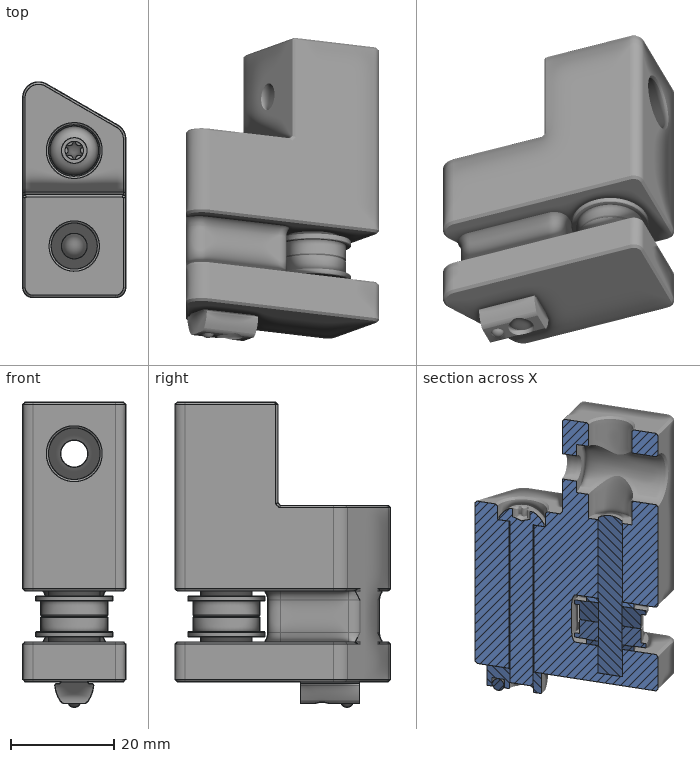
import cadquery as cq
import math


width = 20.0
depth = 41.85
base_height = 7.75
edge_chamfer = 0.5
hole_chamfer = 0.4
slant_angle = 30.0
front_corner_radius = 2.0
back_corner_radius = 3.1

ledge_height = 16.65
tower_rise = 20.0
tower_depth = 20.0

web_width = 11.0
web_front = 18.0
web_corner_radius = 2.5
web_fillet = 3.0
web_fillet_shown = 1.8

shaft_diameter = 5.0
axle_y = 10.0
bearing_diameter = 13.0
bearing_width = 3.95
bearing_chamfer = 0.25
flange_diameter = 15.0
flange_thickness = 1.0
flange_chamfer = 0.1
shim_diameter = 10.0
shim_thickness = 0.95
access_diameter = 8.95
axle_bottom = 2.0
dome_height = 0.75
dome_stand_off = 0.5

bore_diameter = 10.0
bore_depth = 17.0
bore_drop = 10.0
clearance_diameter = 5.2

screw_y = 28.5
head_diameter = 9.45
head_flat_diameter = 5.0
head_height = 2.7
head_rim = 0.5
head_sink = 0.5
screw_reach = 2.95
socket_diameter = 3.55
socket_waist_diameter = 2.35
socket_ridge_radius = 0.65
socket_ridges = 6
socket_depth = 1.65
socket_cone_depth = 0.6

nut_front = 24.3
nut_length = 11.5
nut_height = 4.25
neck_half_width = 2.6
neck_height = 0.35
shoulder_round = 0.4
nut_half_width = 3.8
nut_side_half_width = 3.45
nut_side_drop = 2.3
nut_lower_half_width = 2.7
nut_lower_drop = 3.7
nut_turn_half_width = 2.4
nut_turn_drop = 4.0
nut_bottom_half_width = 2.0
ball_diameter = 2.5
ball_y = 33.4
ball_bottom = -5.0

stack_height = 2 * (shim_thickness + bearing_width)
block_bottom = base_height + stack_height
ledge_z = block_bottom + ledge_height
top_z = ledge_z + tower_rise
access_floor = ledge_z
shoulder_half_width = nut_half_width - shoulder_round
head_seat = ledge_z - head_sink - head_height
slant = math.radians(slant_angle)


def back_y(x):
    """Y of the slanted back plane at x: it touches the left back corner arc, which peaks at `depth`."""
    arc_x = back_corner_radius - width / 2
    arc_y = depth - back_corner_radius
    return arc_y + back_corner_radius / math.cos(slant) - (x - arc_x) * math.tan(slant)


def cylinder(diameter, y, bottom, top):
    return cq.Workplane("XY", origin=(0, y, bottom)).circle(diameter / 2).extrude(top - bottom)


def slanted_prism(half_width, front, bottom, top):
    """Upright block with square front corners and the slanted back."""
    outline = [
        (-half_width, front),
        (half_width, front),
        (half_width, back_y(half_width)),
        (-half_width, back_y(-half_width)),
    ]
    return cq.Workplane("XY", origin=(0, 0, bottom)).polyline(outline).close().extrude(top - bottom)


def outer_prism(bottom, top):
    """Outline shared by the base and the upper block, with its four vertical edges rounded."""
    prism = slanted_prism(width / 2, 0, bottom, top)
    prism = prism.edges("|Z and <Y").fillet(front_corner_radius)
    return prism.edges("|Z").edges(">Y or >X").fillet(back_corner_radius)


def base_plate():
    return outer_prism(0, base_height).faces("|Z").edges().chamfer(edge_chamfer)


def upper_block():
    """L-shaped block: a low ledge at the back and a tall tower at the front."""
    notch = (
        cq.Workplane("YZ")
        .moveTo(tower_depth, top_z)
        .lineTo(tower_depth, ledge_z + edge_chamfer)
        .lineTo(tower_depth + edge_chamfer, ledge_z)
        .lineTo(2 * depth, ledge_z)
        .lineTo(2 * depth, top_z)
        .close()
        .extrude(width, both=True)
    )
    block = outer_prism(block_bottom, top_z).cut(notch)
    rear_profile = cq.selectors.BoxSelector(
        (-width, tower_depth - edge_chamfer / 2, ledge_z - edge_chamfer / 2),
        (width, 2 * depth, top_z - edge_chamfer),
    )
    inner_corner = cq.selectors.BoxSelector(
        (-width / 4, tower_depth - edge_chamfer, ledge_z - edge_chamfer),
        (width / 4, tower_depth + 2 * edge_chamfer, ledge_z + 2 * edge_chamfer),
    )
    block = block.edges(rear_profile - inner_corner).chamfer(edge_chamfer)
    return block.faces("<Z or >Z").edges().chamfer(edge_chamfer)


def neck(bottom, top):
    return slanted_prism(web_width / 2, web_front, bottom, top).edges("|Z").fillet(web_corner_radius)


def web():
    """Neck between base and block, flush with the slanted back and flared at both ends."""
    flare_bottom = base_height + web_fillet_shown - web_fillet
    flare_top = block_bottom - web_fillet_shown + web_fillet
    spool = neck(flare_bottom, flare_top)
    for end_bottom in (flare_bottom - web_fillet, flare_top):
        end = cq.Workplane("XY").box(4 * width, 4 * depth, web_fillet, centered=(True, True, False))
        spool = spool.union(end.translate((0, 0, end_bottom)))
    for level in (flare_bottom, flare_top):
        joint = cq.selectors.BoxSelector(
            (-width, 0, level - edge_chamfer), (width, 2 * depth, level + edge_chamfer)
        )
        spool = spool.edges(joint).fillet(web_fillet)
    flared = spool.intersect(outer_prism(base_height, block_bottom))
    return flared.union(neck(base_height - edge_chamfer, block_bottom + edge_chamfer))


def chamfered_hole(diameter, length):
    """Cutter that starts at the origin, runs down -Z and widens at its mouth."""
    radius = diameter / 2
    return (
        cq.Workplane("XZ")
        .polyline(
            [
                (0, 0),
                (radius + hole_chamfer, 0),
                (radius, -hole_chamfer),
                (radius, -length),
                (0, -length),
            ]
        )
        .close()
        .revolve(360, (0, 0), (0, 1))
    )


def make_housing():
    body = base_plate().union(upper_block()).union(web())
    bore_z = top_z - bore_drop
    bore = chamfered_hole(bore_diameter, bore_depth).rotate((0, 0, 0), (1, 0, 0), 90)
    body = body.cut(bore.translate((0, 0, bore_z)))
    body = body.cut(
        cq.Workplane("XZ", origin=(0, 0, bore_z)).circle(clearance_diameter / 2).extrude(-tower_depth)
    )
    access = chamfered_hole(access_diameter, top_z - access_floor)
    body = body.cut(access.translate((0, axle_y, top_z)))
    body = body.cut(cylinder(shaft_diameter, axle_y, axle_bottom, access_floor))
    counterbore = chamfered_hole(bore_diameter, ledge_z - head_seat)
    body = body.cut(counterbore.translate((0, screw_y, ledge_z)))
    return body.cut(cylinder(clearance_diameter, screw_y, 0, head_seat))


def make_axle():
    radius = shaft_diameter / 2
    dome_radius = (radius**2 + dome_height**2) / (2 * dome_height)
    dome_start = access_floor + dome_stand_off
    half_angle = math.asin(radius / dome_radius) / 2
    dome_middle = (
        dome_radius * math.sin(half_angle),
        dome_start + dome_height - dome_radius * (1 - math.cos(half_angle)),
    )
    return (
        cq.Workplane("XZ", origin=(0, axle_y, 0))
        .moveTo(0, axle_bottom)
        .lineTo(radius, axle_bottom)
        .lineTo(radius, dome_start)
        .threePointArc(dome_middle, (0, dome_start + dome_height))
        .close()
        .revolve(360, (0, 0), (0, 1))
    )


def make_shim(bottom):
    ring = cylinder(shim_diameter, axle_y, bottom, bottom + shim_thickness)
    return ring.cut(cylinder(shaft_diameter, axle_y, bottom, bottom + shim_thickness))


def make_bearing(bottom, flange_bottom):
    top = bottom + bearing_width
    ring = cylinder(bearing_diameter, axle_y, bottom, top).edges().chamfer(bearing_chamfer)
    flange = cylinder(flange_diameter, axle_y, flange_bottom, flange_bottom + flange_thickness)
    ring = ring.union(flange.edges().chamfer(flange_chamfer))
    return ring.cut(cylinder(shaft_diameter, axle_y, bottom, top))


def socket_cone(base_z):
    """Cone pointing down, as wide as the socket at its base."""
    return (
        cq.Workplane("XZ", origin=(0, screw_y, base_z))
        .lineTo(socket_diameter / 2, 0)
        .lineTo(0, -socket_cone_depth)
        .close()
        .revolve(360, (0, 0), (0, 1))
    )


def make_socket():
    """Six-lobed recess: a round hole with six rounded ridges, a conical lead-in and a conical floor."""
    head_top = head_seat + head_height
    floor = head_top - socket_depth
    recess = cylinder(socket_diameter, screw_y, floor, head_top).union(socket_cone(floor))
    ridges = (
        cq.Workplane("XY", origin=(0, screw_y, floor - socket_cone_depth))
        .polarArray(socket_waist_diameter / 2 + socket_ridge_radius, 0, 360, socket_ridges)
        .circle(socket_ridge_radius)
        .extrude(socket_depth + socket_cone_depth)
    )
    return recess.cut(ridges).union(socket_cone(head_top))


def make_screw():
    shank_radius = shaft_diameter / 2
    head_radius = head_diameter / 2
    flat_radius = head_flat_diameter / 2
    head_top = head_seat + head_height
    rim_z = head_seat + head_rim
    rise = head_top - rim_z
    sphere_drop = (head_radius**2 - flat_radius**2 - rise**2) / (2 * rise)
    sphere_radius = math.hypot(head_radius, sphere_drop)
    mid_z = (rim_z + head_top) / 2
    mid_radius = math.sqrt(sphere_radius**2 - (mid_z - rim_z + sphere_drop) ** 2)
    screw = (
        cq.Workplane("XZ", origin=(0, screw_y, 0))
        .moveTo(0, -screw_reach)
        .lineTo(shank_radius, -screw_reach)
        .lineTo(shank_radius, head_seat)
        .lineTo(head_radius, head_seat)
        .lineTo(head_radius, rim_z)
        .threePointArc((mid_radius, mid_z), (flat_radius, head_top))
        .lineTo(0, head_top)
        .close()
        .revolve(360, (0, 0), (0, 1))
    )
    return screw.cut(make_socket())


def make_nut():
    """Prism along Y: a filleted neck, rounded shoulders and bowed sides narrowing to a flat bottom."""
    arc_inset = 1 - math.sqrt(0.5)
    half = (
        cq.Workplane("XZ", origin=(0, nut_front, 0))
        .lineTo(neck_half_width, 0)
        .threePointArc(
            (neck_half_width + arc_inset * neck_height, (arc_inset - 1) * neck_height),
            (neck_half_width + neck_height, -neck_height),
        )
        .lineTo(shoulder_half_width, -neck_height)
        .threePointArc(
            (nut_half_width - arc_inset * shoulder_round, -neck_height - arc_inset * shoulder_round),
            (nut_half_width, -neck_height - shoulder_round),
        )
        .threePointArc((nut_side_half_width, -nut_side_drop), (nut_lower_half_width, -nut_lower_drop))
        .threePointArc((nut_turn_half_width, -nut_turn_drop), (nut_bottom_half_width, -nut_height))
        .lineTo(0, -nut_height)
        .close()
        .extrude(-nut_length)
    )
    nut = half.union(half.mirror("YZ"))
    nut = nut.cut(cylinder(shaft_diameter, screw_y, -nut_height, 0))
    return nut.cut(cylinder(ball_diameter, ball_y, -nut_height, ball_bottom + ball_diameter))


def make_ball():
    radius = ball_diameter / 2
    return cq.Workplane("XY").sphere(radius).translate((0, ball_y, ball_bottom + radius))


housing = make_housing()
axle = make_axle()
shims = [make_shim(base_height), make_shim(block_bottom - shim_thickness)]
lower_bearing_z = base_height + shim_thickness
upper_bearing_z = lower_bearing_z + bearing_width
bearings = [
    make_bearing(lower_bearing_z, lower_bearing_z),
    make_bearing(upper_bearing_z, upper_bearing_z + bearing_width - flange_thickness),
]
screw = make_screw()
nut = make_nut()
ball = make_ball()

result = cq.Compound.makeCompound(
    [
        housing.val(),
        axle.val(),
        *[shim.val() for shim in shims],
        *[bearing.val() for bearing in bearings],
        screw.val(),
        nut.val(),
        ball.val(),
    ]
)